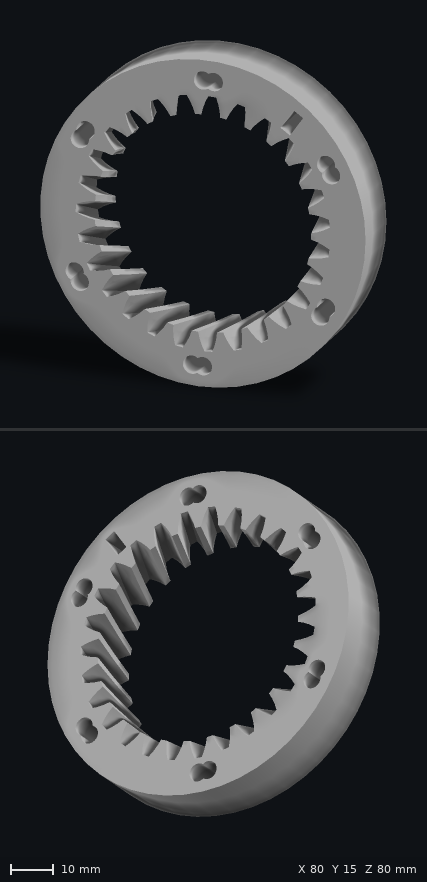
import cadquery as cq
import math

outer_diameter = 80
width = 15.0

tooth_count = 27
tip_radius = 26.6
pitch_radius = 29.1
root_radius = 31.3
gap_at_tip = 4.6
gap_at_pitch = 3.6
gap_at_root = 1.9
first_gap_angle = 4.2
twist = 10.8

hole_pair_count = 6
hole_circle_radius = 35.0
hole_diameter = 4.5
hole_pair_angle = 4.4

slot_radius = 34.6
slot_angle = 39.1
slot_tilt = 35.2
slot_length = 5.6
slot_width = 2.9

pitch_angle = 360 / tooth_count


def polar(radius, angle):
    """Point on the -Y face; angle in degrees clockwise from +Z."""
    turn = math.radians(angle)
    return radius * math.sin(turn), radius * math.cos(turn)


def gap_point(radius, gap_width, gap_angle, side):
    """Point on one flank of a gap; side is -1 or +1 around its centre line."""
    half_angle = math.degrees(math.asin(gap_width / 2 / radius))
    return polar(radius, gap_angle + side * half_angle)


def face():
    """Workplane on the -Y face, its normal pointing out along -Y."""
    return cq.Workplane("XZ", origin=(0, -width / 2, 0))


def toothed_opening():
    """The bore and all tooth gaps as one twisted solid."""
    start = gap_point(tip_radius, gap_at_tip, first_gap_angle, -1)
    outline = face().moveTo(*start)
    for i in range(tooth_count):
        angle = first_gap_angle + i * pitch_angle
        outline = (
            outline
            .threePointArc(gap_point(pitch_radius, gap_at_pitch, angle, -1),
                           gap_point(root_radius, gap_at_root, angle, -1))
            .threePointArc(polar(root_radius, angle),
                           gap_point(root_radius, gap_at_root, angle, 1))
            .threePointArc(gap_point(pitch_radius, gap_at_pitch, angle, 1),
                           gap_point(tip_radius, gap_at_tip, angle, 1))
        )
        next_angle = angle + pitch_angle
        crest_middle = polar(tip_radius, angle + pitch_angle / 2)
        crest_end = gap_point(tip_radius, gap_at_tip, next_angle, -1)
        outline = outline.threePointArc(crest_middle, crest_end)
    return outline.close().twistExtrude(-width, -twist)


def round_hole(angle):
    """One through hole on the hole circle, as a solid to cut."""
    return face().center(*polar(hole_circle_radius, angle)).circle(hole_diameter / 2).extrude(-width)


def slot():
    """The rectangular through slot, as a solid to cut."""
    return (
        face()
        .center(*polar(slot_radius, slot_angle))
        .transformed(rotate=(0, 0, -slot_tilt))
        .rect(slot_width, slot_length)
        .extrude(-width)
    )


result = face().circle(outer_diameter / 2).extrude(-width)
result = result.cut(toothed_opening())
for pair in range(hole_pair_count):
    pair_start = pair * 360 / hole_pair_count
    result = result.cut(round_hole(pair_start))
    result = result.cut(round_hole(pair_start + hole_pair_angle))
result = result.cut(slot())